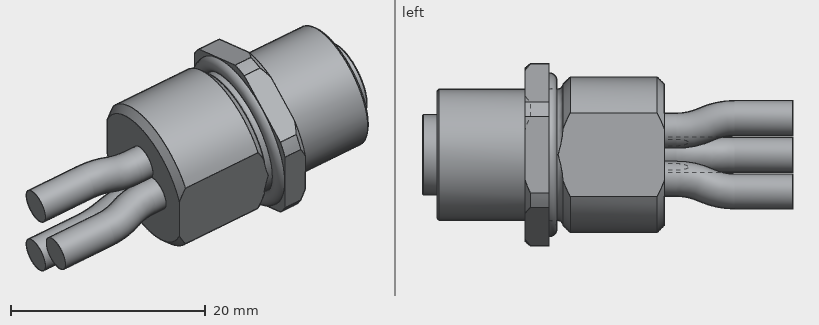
import cadquery as cq
import math


sleeve_diameter = 13.5
sleeve_length = 9.0
sleeve_chamfer = 0.23
insert_diameter = 8.3
insert_length = 1.5
insert_chamfer = 0.1

hex_across_flats = 17.0
hex_corner_diameter = 18.7
hex_thickness = 2.5
hex_chamfer_radial = 0.5
hex_chamfer_axial = 0.57
marked_corner_angle = 150

neck_radius = sleeve_diameter / 2
shoulder_depth = 1.4
body_diameter = 16.0
body_radius = body_diameter / 2
body_chamfer = 0.75
neck_fillet = body_radius - neck_radius - body_chamfer
body_end = 11.8
flat_spacing = sleeve_diameter

ring_section_radius = 0.85
ring_center_radius = neck_radius + ring_section_radius
ring_protrusion = 0.8

wire_diameter = 3.6
wire_inner_offset = 2.47
wire_outer_offset = 3.75
wire_start_length = 1.25
wire_bend_length = 5.95
wire_angles = (-90, 0, 90)
total_length = 38

sleeve_end = hex_thickness + sleeve_length
wire_end = total_length - sleeve_end - insert_length


def revolve_about_y(profile):
    """Turn a closed profile of (radius, Y) about the Y axis."""
    return profile.close().revolve(360, (0, 0, 0), (0, 1, 0))


def cylinder_along_y(diameter, start, length):
    return cq.Workplane("XZ", origin=(0, start, 0)).circle(diameter / 2).extrude(-length)


def make_rear():
    sleeve = cylinder_along_y(sleeve_diameter, 0, sleeve_end)
    sleeve = sleeve.faces(">Y").chamfer(sleeve_chamfer)
    insert = cylinder_along_y(insert_diameter, sleeve_end, insert_length)
    insert = insert.faces(">Y").chamfer(insert_chamfer)
    return sleeve.union(insert)


def make_hex_flange():
    corner_radius = hex_corner_diameter / 2
    point_diameter = hex_across_flats / math.cos(math.radians(30))
    prism = (
        cq.Workplane("XZ")
        .transformed(rotate=(0, 0, 30))
        .polygon(6, point_diameter)
        .extrude(-hex_thickness)
    )
    flange = prism.intersect(cylinder_along_y(hex_corner_diameter, 0, hex_thickness))

    chamfer_cut = revolve_about_y(
        cq.Workplane("XY")
        .moveTo(corner_radius, hex_thickness - hex_chamfer_axial)
        .lineTo(corner_radius - hex_chamfer_radial, hex_thickness)
        .lineTo(corner_radius, hex_thickness)
    )
    marked_sector = make_sector(point_diameter)
    return flange.cut(chamfer_cut.cut(marked_sector))


def make_sector(radius):
    """Sixth of the flange around the marked corner."""
    sides = [math.radians(marked_corner_angle + turn) for turn in (-30, 30)]
    rim = [(radius * math.cos(a), radius * math.sin(a)) for a in sides]
    return cq.Workplane("XZ").polyline([(0, 0)] + rim).close().extrude(-hex_thickness)


def make_seal_ring():
    center_y = ring_section_radius - ring_protrusion
    section = cq.Workplane("XY").moveTo(ring_center_radius, center_y).circle(ring_section_radius)
    return section.revolve(360, (0, 0, 0), (0, 1, 0))


def make_front_body():
    end_radius = body_radius - body_chamfer
    fillet_sag = neck_fillet * (1 - math.sqrt(0.5))
    body = revolve_about_y(
        cq.Workplane("XY")
        .moveTo(0, 0)
        .lineTo(neck_radius, 0)
        .lineTo(neck_radius, neck_fillet - shoulder_depth)
        .threePointArc(
            (neck_radius + fillet_sag, fillet_sag - shoulder_depth),
            (end_radius, -shoulder_depth),
        )
        .lineTo(body_radius, -shoulder_depth - body_chamfer)
        .lineTo(body_radius, body_chamfer - body_end)
        .lineTo(end_radius, -body_end)
        .lineTo(0, -body_end)
    )
    flats = cq.Workplane("XY").box(flat_spacing, 2 * body_end, 2 * body_radius)
    return body.intersect(flats)


def make_wire(angle):
    """Wire with an S-bend away from the axis, turned about Y to its place."""
    bend_start = -body_end - wire_start_length
    bend_end = bend_start - wire_bend_length
    middle = ((wire_inner_offset + wire_outer_offset) / 2, (bend_start + bend_end) / 2)
    path = (
        cq.Workplane("XY")
        .moveTo(wire_inner_offset, -body_end)
        .lineTo(wire_inner_offset, bend_start)
        .tangentArcPoint(middle, relative=False)
        .tangentArcPoint((wire_outer_offset, bend_end), relative=False)
        .lineTo(wire_outer_offset, -wire_end)
    )
    section = cq.Workplane("XZ", origin=(wire_inner_offset, -body_end, 0)).circle(wire_diameter / 2)
    return section.sweep(path).rotate((0, 0, 0), (0, 1, 0), angle)


result = make_rear().union(make_hex_flange()).union(make_seal_ring()).union(make_front_body())
for wire_angle in wire_angles:
    result = result.union(make_wire(wire_angle))